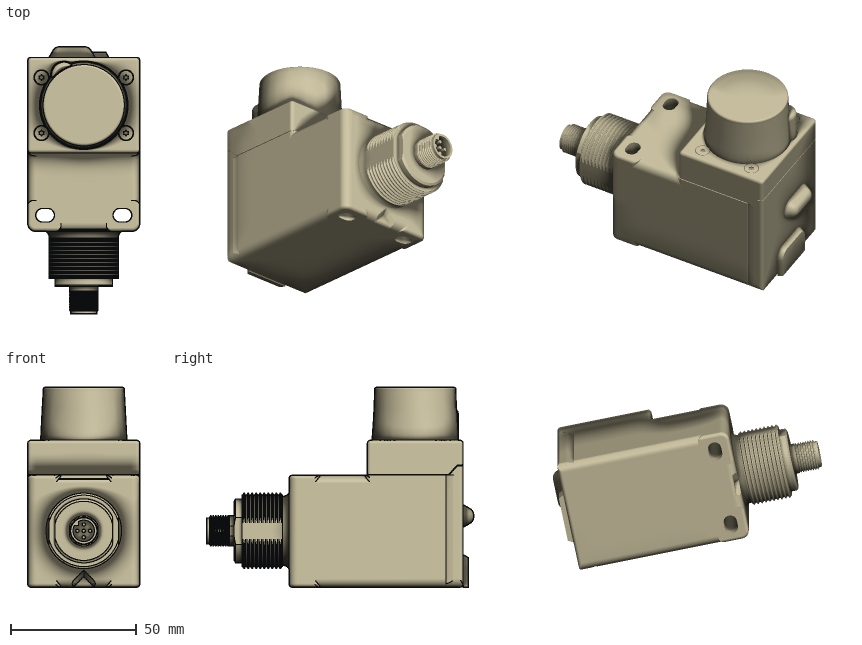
import cadquery as cq
import math


width = 44.57
half_width = width / 2
body_depth = 69.15
body_height = 44.5
head_depth = 38.1
head_top = 58.4
edge_radius = 1.35
corner_radius = 3.25

pad_start = -59.2
side_relief_back = -36.7
front_relief_length = 22.8
relief_run = 2.4
ledge_half_width = 9.6
ledge_depth = 0.95
ledge_height = 0.3

slot_x = 15.35
slot_y = -62.7
slot_length = 7.35
slot_width = 5.3

arrow_tip_z = 6.8
arrow_depth = 1.8
arrow_taper = 45

seam_width = 0.35
seam_depth = 0.35
seam_raised_z = 48.2
seam_raised_end = -2.3
seam_low_start = -5.7
cover_ramp_start = -3.9
cover_ramp_end = -6.9
cover_ramp_depth = 0.6

cap_center_y = -head_depth / 2
cap_top = 79.43
cap_base_radius = 17.18
cap_rim_radius = 16.15
cap_rim_height = 1.6
cap_edge_radius = 0.95
cap_gap = 0.4
cap_gap_depth = 1.0

window_x = -7.85
window_y = -6.85
window_radius = 4.9
window_top = 71.0
window_dome_radius = 2.2

screw_x = 16.77
screw_pitch_y = 22.1
screw_bore_radius = 3.0
screw_head_radius = 2.8
screw_bore_depth = 1.0
screw_clearance_top = 65.0
star_radius = 1.25
star_points = 6
star_depth = 0.5

button_left_x = -9.3
button_z = 28.3
button_radius = 4.5
button_height = 4.2
flank_taper = 30
button_edge_radius = 3.0
foot_half_width = 9.96
foot_top = 12.95
foot_corner_radius = 4.6
foot_height = 2.0

connector_z = 22.4
neck_radius = 13.7
neck_flare = 1.3
large_thread_start = 71.75
large_thread_radius = 15.0
large_root_radius = 14.2
large_pitch = 1.6
large_turns = 10
large_flat = 13.8
ridge_start = 0.2
crest_start = 0.45
crest_end = 0.6
ridge_end = 0.85
collar_end = 90.9
collar_radius = 12.7
collar_chamfer = 0.55
collar_face_radius = 11.75
collar_flat = 11.5
small_thread_start = 92.8
small_thread_radius = 6.0
small_root_radius = 5.45
small_pitch = 0.98
small_turns = 8
small_flat = 5.67
plug_end = 101.83
plug_end_radius = 5.2
bore_radius = 4.25
bore_depth = 8.0
pin_radius = 0.65
pin_circle_radius = 2.55
pin_length = 6.5
key_offset = 2.1


def block(x_min, x_max, y_min, y_max, z_min, z_max):
    size = (x_max - x_min, y_max - y_min, z_max - z_min)
    return cq.Workplane("XY").box(*size, centered=False).translate((x_min, y_min, z_min))


def disc(x, y, z_bottom, radius, height):
    return cq.Workplane("XY", origin=(x, y, z_bottom)).circle(radius).extrude(height)


def housing():
    body = block(-half_width, half_width, -body_depth, 0, 0, body_height)
    body = body.edges("|Z and <Y").fillet(corner_radius)
    body = body.edges("|Z and >Y").fillet(edge_radius)
    body = body.faces("<Z or >Z").edges().fillet(edge_radius)
    head_bottom = body_height - corner_radius
    head = block(-half_width, half_width, -head_depth, 0, head_bottom, head_top)
    head = head.edges("|Z").fillet(edge_radius).faces(">Z").edges().fillet(edge_radius)
    return body.union(head)


def relief(length):
    """Cutter that rounds an edge along X; material lies at +Y and -Z of the edge at the origin.

    Both ends narrow inwards along an arc, which gives the neighbouring pads round corners.
    """
    depth = corner_radius
    half = length / 2
    inner_half = half - relief_run
    cutter = (
        cq.Workplane("XY")
        .moveTo(-half, 0)
        .lineTo(half, 0)
        .radiusArc((inner_half, relief_run), relief_run)
        .lineTo(inner_half, depth)
        .lineTo(-inner_half, depth)
        .lineTo(-inner_half, relief_run)
        .radiusArc((-half, 0), relief_run)
        .close()
        .extrude(-depth)
    )
    axis = cq.Workplane("YZ", origin=(-length, 0, 0)).center(depth, -depth)
    return cutter.cut(axis.circle(depth).extrude(2 * length))


def edge_reliefs():
    """Reliefs along the top and bottom edges of the side walls and of the front wall."""
    upper_length = side_relief_back - pad_start
    lower_length = 2 * abs(pad_start)
    front = relief(front_relief_length).translate((0, -body_depth, body_height))
    upper = relief(upper_length).rotate((0, 0, 0), (0, 0, 1), -90)
    upper = upper.translate((-half_width, pad_start + upper_length / 2, body_height))
    lower = relief(lower_length).rotate((0, 0, 0), (0, 0, 1), -90).mirror("XY")
    lower = lower.translate((-half_width, pad_start + lower_length / 2, 0))
    lower_front = relief(front_relief_length).mirror("XY").translate((0, -body_depth, 0))
    ledge_back = -body_depth + ledge_depth
    ledge_top = body_height - edge_radius
    ledge = block(
        -ledge_half_width, ledge_half_width, -body_depth, ledge_back, ledge_top - ledge_height, ledge_top
    )
    return [front, ledge, lower_front, upper, upper.mirror("YZ"), lower, lower.mirror("YZ")]


def mounting_slots():
    slots = cq.Workplane("XY").pushPoints([(-slot_x, slot_y), (slot_x, slot_y)])
    return slots.slot2D(slot_length, slot_width).extrude(body_height)


def arrow_recess():
    """Triangular recess with sloping walls, open at the underside, with a rounded lower floor edge."""
    below = arrow_tip_z
    half_base = arrow_tip_z + below
    front = cq.Workplane("XZ", origin=(0, -body_depth, 0))
    triangle = front.polyline([(-half_base, -below), (half_base, -below), (0, arrow_tip_z)]).close()
    recess = triangle.extrude(-arrow_depth, taper=arrow_taper)
    floor_half_base = arrow_tip_z - arrow_depth * math.sqrt(2)
    floor_y = -body_depth + arrow_depth
    floor_edge = block(-floor_half_base, floor_half_base, floor_y, floor_y + edge_radius, 0, edge_radius)
    axis = cq.Workplane("YZ", origin=(-floor_half_base, 0, 0)).center(floor_y + edge_radius, edge_radius)
    rounding = axis.circle(edge_radius).extrude(2 * floor_half_base)
    return recess.union(floor_edge.cut(rounding))


def seams():
    """Thin grooves where the head and the back cover meet the body, all around the head."""
    low_z = body_height
    path = [
        (0, seam_raised_z),
        (seam_raised_end, seam_raised_z),
        (seam_low_start, low_z),
        (-head_depth, low_z),
    ]
    outline = path + [(y, z + seam_width) for y, z in reversed(path)]
    inner_x = half_width - seam_depth
    side = cq.Workplane("YZ", origin=(inner_x, 0, 0)).polyline(outline).close().extrude(seam_depth)
    ramp_outline = [
        (half_width, cover_ramp_start),
        (half_width, cover_ramp_end),
        (half_width - cover_ramp_depth, cover_ramp_end),
    ]
    ramp = cq.Workplane("XY").polyline(ramp_outline).close().extrude(body_height)
    back = block(-half_width, half_width, -seam_depth, 0, seam_raised_z, seam_raised_z + seam_width)
    front_y = -head_depth
    front = block(-half_width, half_width, front_y, front_y + seam_depth, low_z, low_z + seam_width)
    return [side, side.mirror("YZ"), ramp, ramp.mirror("YZ"), back, front]


def cap():
    base_z = head_top - cap_gap_depth
    profile = (
        cq.Workplane("XZ")
        .moveTo(0, base_z)
        .lineTo(cap_base_radius, base_z)
        .lineTo(cap_base_radius, head_top)
        .lineTo(cap_rim_radius, cap_top - cap_rim_height)
        .lineTo(cap_rim_radius, cap_top)
        .lineTo(0, cap_top)
        .close()
    )
    turned = profile.revolve(360, (0, 0, 0), (0, 1, 0))
    turned = turned.faces(">Z").edges().fillet(cap_edge_radius)
    return turned.translate((0, cap_center_y, 0))


def window():
    base_z = head_top - cap_gap_depth
    dome = disc(window_x, window_y, base_z, window_radius, window_top - base_z)
    return dome.faces(">Z").edges().fillet(window_dome_radius)


def cap_groove():
    base_z = head_top - cap_gap_depth
    around_cap = disc(0, cap_center_y, base_z, cap_base_radius + cap_gap, cap_gap_depth)
    around_window = disc(window_x, window_y, base_z, window_radius + cap_gap, cap_gap_depth)
    return around_cap.union(around_window)


def screw():
    """Flat screw head with a star-shaped drive; its top is flush with the head."""
    base_z = head_top - screw_bore_depth
    star_inner = star_radius / math.sqrt(3)
    outline = []
    for i in range(2 * star_points):
        radius = star_radius if i % 2 == 0 else star_inner
        angle = math.pi / 2 + i * math.pi / star_points
        outline.append((radius * math.cos(angle), radius * math.sin(angle)))
    drive = cq.Workplane("XY", origin=(0, 0, head_top)).polyline(outline).close().extrude(-star_depth)
    return disc(0, 0, base_z, screw_head_radius, screw_bore_depth).cut(drive)


def add_screws(part):
    bore_z = head_top - screw_bore_depth
    for x in (-screw_x, screw_x):
        for y in (cap_center_y - screw_pitch_y / 2, cap_center_y + screw_pitch_y / 2):
            part = part.cut(disc(x, y, bore_z, screw_bore_radius, screw_clearance_top - bore_z))
            part = part.union(screw().translate((x, y, 0)))
    return part


def back_button():
    """Elongated button with sloping, rounded flanks."""
    length = abs(button_left_x) + 2 * button_radius
    plane = cq.Workplane("XZ").center(button_left_x / 2, button_z)
    button = plane.slot2D(length, 2 * button_radius).extrude(-button_height, taper=flank_taper)
    return button.faces(">Y").edges().fillet(button_edge_radius)


def back_foot():
    """Low tapered pad at the bottom of the back wall, rounded at its upper corners."""
    outline = cq.Sketch().rect(2 * foot_half_width, 2 * foot_top).vertices().fillet(foot_corner_radius)
    foot = cq.Workplane("XZ").placeSketch(outline).extrude(-foot_height, taper=flank_taper)
    return foot.intersect(block(-half_width, half_width, 0, foot_height, 0, foot_top))


def thread_points(start, pitch, turns, root, crest):
    """Half profile of a run of thread ridges, from the start towards -Y."""
    points = []
    for i in range(turns):
        y = -start - i * pitch
        points.append((root, y))
        points.append((root, y - ridge_start * pitch))
        points.append((crest, y - crest_start * pitch))
        points.append((crest, y - crest_end * pitch))
        points.append((root, y - ridge_end * pitch))
    points.append((root, -start - turns * pitch))
    return points


def turned_piece(points, flat):
    """Revolve a half profile about the connector axis and mill two flats on its sides."""
    closed = [(0, points[0][1])] + points + [(0, points[-1][1])]
    piece = cq.Workplane("XY").polyline(closed).close().revolve(360, (0, 0, 0), (0, 1, 0))
    reach = large_thread_radius + 1
    return piece.intersect(block(-flat, flat, -plug_end, 0, -reach, reach))


def connector_neck():
    """Neck between wall and thread, widening towards the wall along an arc."""
    neck_length = large_thread_start - body_depth
    flare_radius = (neck_length**2 + neck_flare**2) / (2 * neck_flare)
    profile = (
        cq.Workplane("XY")
        .moveTo(0, -body_depth)
        .lineTo(neck_radius + neck_flare, -body_depth)
        .radiusArc((neck_radius, -large_thread_start), -flare_radius)
        .lineTo(0, -large_thread_start)
        .close()
    )
    return profile.revolve(360, (0, 0, 0), (0, 1, 0))


def plug_cavity():
    """Socket bore with the coding key and the contact pins left standing."""
    open_plane = cq.Workplane("XZ", origin=(0, -plug_end, 0))
    bore = open_plane.circle(bore_radius).extrude(-bore_depth)
    key = block(-bore_radius, -key_offset, -plug_end, -plug_end + bore_depth, key_offset, bore_radius)
    pin_spots = [(0, 0)]
    for angle in range(0, 360, 90):
        turn = math.radians(angle)
        pin_spots.append((pin_circle_radius * math.cos(turn), pin_circle_radius * math.sin(turn)))
    bottom = cq.Workplane("XZ", origin=(0, -plug_end + bore_depth, 0))
    pins = bottom.pushPoints(pin_spots).circle(pin_radius).extrude(pin_length)
    return bore.cut(key).cut(pins)


def connector():
    large_end = large_thread_start + large_pitch * large_turns
    large = thread_points(
        large_thread_start, large_pitch, large_turns, large_root_radius, large_thread_radius
    )
    collar = [
        (collar_radius, -large_end),
        (collar_radius, -collar_end + collar_chamfer),
        (collar_face_radius, -collar_end),
    ]
    plug = [
        (small_thread_radius, -collar_end),
        (small_thread_radius, -small_thread_start),
    ]
    plug += thread_points(
        small_thread_start, small_pitch, small_turns, small_root_radius, small_thread_radius
    )
    plug += [
        (plug_end_radius, plug[-1][1]),
        (plug_end_radius, -plug_end),
    ]
    part = connector_neck()
    part = part.union(turned_piece(large, large_flat))
    part = part.union(turned_piece(collar, collar_flat))
    part = part.union(turned_piece(plug, small_flat))
    return part.cut(plug_cavity()).translate((0, 0, connector_z))


part = housing()
for cutter in edge_reliefs() + seams():
    part = part.cut(cutter)
part = part.cut(mounting_slots()).cut(arrow_recess())
part = part.cut(cap_groove()).union(cap()).union(window())
part = add_screws(part)
part = part.union(back_foot()).union(back_button()).union(connector())
result = part